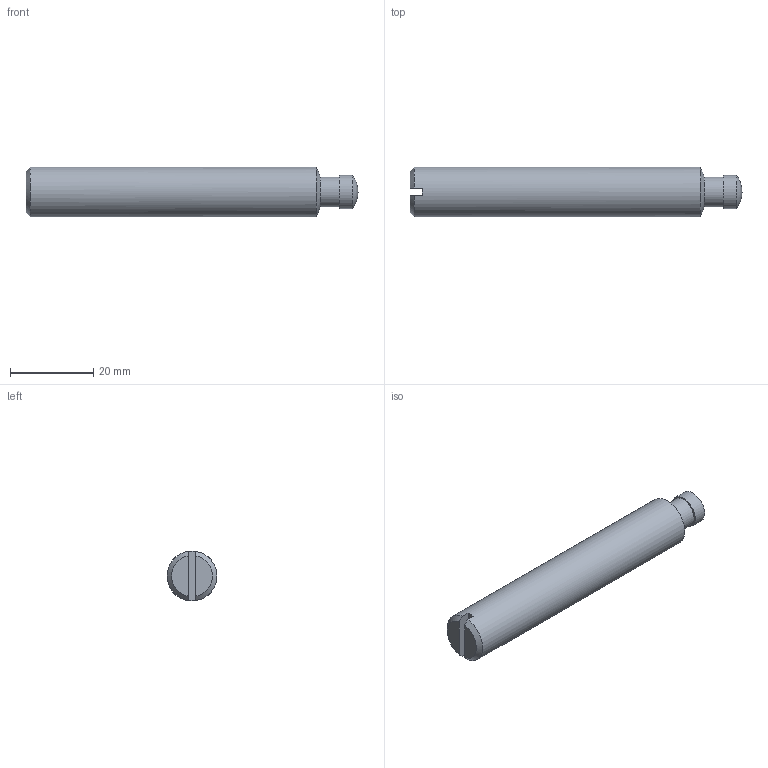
import cadquery as cq
import math

total_length = 80.0
body_diameter = 12.0
neck_diameter = 7.2
head_diameter = 8.0

slot_end_chamfer = 1.07
shoulder_start = 70.0
shoulder_length = 0.96

head_start = 75.5
tip_radius = 6.8

slot_width = 1.8
slot_depth = 3.0

body_radius = body_diameter / 2
neck_radius = neck_diameter / 2
head_radius = head_diameter / 2


def dome_height(radius):
    """Height of the tip's spherical cap over a circle of the given radius."""
    return tip_radius - math.sqrt(tip_radius**2 - radius**2)


def turned_pin():
    """Revolve the half profile of body, neck and domed head about X."""
    tip_start = total_length - dome_height(head_radius)
    middle_radius = head_radius / 2
    tip_middle = total_length - dome_height(middle_radius)

    profile = (
        cq.Workplane("XY")
        .moveTo(0, 0)
        .lineTo(0, body_radius - slot_end_chamfer)
        .lineTo(slot_end_chamfer, body_radius)
        .lineTo(shoulder_start, body_radius)
        .lineTo(shoulder_start + shoulder_length, neck_radius)
        .lineTo(head_start, neck_radius)
        .lineTo(head_start, head_radius)
        .lineTo(tip_start, head_radius)
        .threePointArc((tip_middle, middle_radius), (total_length, 0))
        .close()
    )
    return profile.revolve(360, (0, 0, 0), (1, 0, 0))


def screwdriver_slot():
    """Slot across the flat end at X = 0, running along Z."""
    return cq.Workplane("XY").box(
        slot_depth, slot_width, body_diameter, centered=(False, True, True)
    )


result = turned_pin().cut(screwdriver_slot())